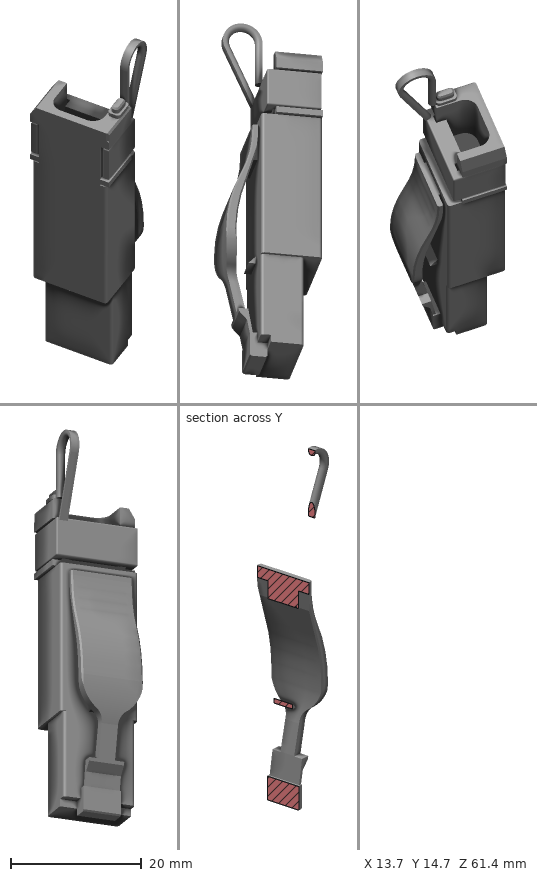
import cadquery as cq
import math

total_height = 61.4
head_width = 13.7
head_depth = 7.25
head_top = 51.4
sleeve_width = 12.85
sleeve_back = 9.45
sleeve_top = 40.3
sleeve_bottom = 16.3
plug_width = 11.8
plug_front = 2.75
plug_bottom = 1.2
edge_rounding = 0.5

bevel_width = 1.05
bevel_height = 1.65
small_bevel = 0.3
corner_height = 1.65
corner_width = 0.5
corner_depth = 0.2
gap_height = 0.2
gap_inner_x = 5.35
window_width = 8.7
window_front = 1.3
window_radius = 2.1

band_width = 13.5
band_bottom = 41.7
band_top = 47.9
band_back = 8.65
band_tip = 0.2
band_rounding = 0.25
slot_clearance = 0.25
slot_inner_x = 5.3
arm_tip_chamfer = 0.55
tongue_width = 7.85
tongue_front = 5.85

strap_x = 5.6
strap_width = 1.35
strap_thickness = 1.05
loop_radius = 3.1
loop_front = 7.1
strap_lean = math.radians(24.2)
strap_end_z = 47.25
knob_front = 3.7
knob_base_width = 2.1
knob_base_height = 0.7
knob_height = 1.65
knob_setback = 0.3
knob_corner_radius = 0.6
knob_top_chamfer = 0.25

lever_width = 10.2
lever_top = 38.9
lever_root_front = 9.75
lever_root_back = 10.6
lever_back = 14.7
lever_peak_z = 20.7
lever_neck_z = 13.5
lever_edge_chamfer = 0.25
pad_width = 6.15
pad_bottom = 33.85

outer_bend_top_z = 38.1
outer_bend_y = 12.35
outer_bend_z = 30.65
outer_neck_y = 13.6
heel_back = 12.3
heel_z = 7.6
heel_step_back = 11.05
heel_step_z = 6.25

inner_foot_y = 10.15
inner_heel_y = 10.9
inner_heel_z = 8.2
inner_neck_y = 12.05
inner_neck_z = 13.25
inner_peak_y = 13.1
inner_bend_y = 11.5
inner_bend_z = 29.4
inner_root_y = 10.15
inner_root_top_z = 37.15

waist_x = 2.45
waist_z = 15.65
neck_width = 2.7
neck_bottom = 8.15
heel_width = 5.8

foot_width = 6.2
foot_top = 4.05
foot_front = 7.9
foot_ledge = 2.4
foot_rounding = 0.25
barb_width = 3.7
barb_bottom = 16.65
barb_height = 1.2


def block(x_range, y_range, z_range):
    """Box between the given limits along X, Y and Z."""
    x0, x1 = x_range
    y0, y1 = y_range
    z0, z1 = z_range
    return cq.Workplane("XY").box(x1 - x0, y1 - y0, z1 - z0, centered=False).translate((x0, y0, z0))


def centred_block(width, y_range, z_range):
    """Box of the given width, symmetric about X = 0."""
    return block((-width / 2, width / 2), y_range, z_range)


def side_profile(outline, width):
    """Extrude an outline of the YZ plane symmetrically about X = 0."""
    return outline.extrude(width / 2, both=True)


def make_head():
    half = head_width / 2
    head = (
        cq.Workplane("XZ")
        .moveTo(-half, sleeve_top)
        .lineTo(half, sleeve_top)
        .lineTo(half, head_top - small_bevel)
        .lineTo(half - small_bevel, head_top)
        .lineTo(-half + bevel_width, head_top)
        .lineTo(-half, head_top - bevel_height)
        .close()
        .extrude(-head_depth)
    )
    corner = (
        cq.Workplane("XY", origin=(0, 0, head_top - corner_height))
        .moveTo(half, 0)
        .lineTo(half, corner_depth)
        .lineTo(half - corner_width, 0)
        .close()
        .extrude(corner_height)
    )
    window = (
        centred_block(window_width, (window_front, sleeve_back), (band_bottom, head_top))
        .edges("|Z and <Y")
        .fillet(window_radius)
    )
    head = head.cut(corner).cut(window)
    for side in (-1, 1):
        slot = block(
            sorted((side * slot_inner_x, side * half)),
            (0, head_depth),
            (band_bottom - slot_clearance, band_top + slot_clearance),
        )
        gap = block(
            sorted((side * gap_inner_x, side * half)),
            (0, head_depth),
            (sleeve_top, sleeve_top + gap_height),
        )
        head = head.cut(slot).cut(gap)
    return head


def make_band():
    height = band_top - band_bottom
    band = centred_block(band_width, (band_tip, band_back), (band_bottom, band_top))
    band = band.edges("|X or |Y or (|Z and >Y)").fillet(band_rounding)
    opening_back = head_depth + slot_clearance
    opening = centred_block(2 * slot_inner_x, (band_tip, opening_back), (band_bottom, band_top))
    band = band.cut(opening)
    for side in (-1, 1):
        slope = (
            cq.Workplane("XY", origin=(0, 0, band_bottom))
            .moveTo(side * slot_inner_x, band_tip)
            .lineTo(side * (slot_inner_x + arm_tip_chamfer), band_tip)
            .lineTo(side * slot_inner_x, band_tip + arm_tip_chamfer)
            .close()
            .extrude(height)
        )
        band = band.cut(slope)
    tongue = centred_block(tongue_width, (tongue_front, band_back - band_rounding), (band_bottom, band_top))
    return band.union(tongue)


def make_sleeve():
    sleeve = centred_block(sleeve_width, (0, sleeve_back), (sleeve_bottom, sleeve_top))
    return sleeve.edges("|Z").fillet(edge_rounding)


def make_plug():
    plug = centred_block(plug_width, (plug_front, sleeve_back), (plug_bottom, sleeve_bottom))
    plug = plug.edges("|Z").fillet(edge_rounding)
    step = centred_block(plug_width, (foot_front, sleeve_back), (plug_bottom, foot_ledge))
    return plug.cut(step)


def make_strap():
    centre_y = loop_front + loop_radius
    centre_z = total_height - loop_radius
    lean_y = centre_y + loop_radius * math.cos(strap_lean)
    lean_z = centre_z - loop_radius * math.sin(strap_lean)
    end_y = lean_y - (lean_z - strap_end_z) * math.tan(strap_lean)
    path = (
        cq.Workplane("YZ", origin=(strap_x, 0, 0))
        .moveTo(loop_front, head_top)
        .lineTo(loop_front, centre_z)
        .threePointArc((centre_y, total_height), (lean_y, lean_z))
        .lineTo(end_y, strap_end_z)
    )
    half = strap_width / 2
    section = (
        cq.Workplane("XY", origin=(strap_x, loop_front, head_top))
        .moveTo(-half, 0)
        .lineTo(half, 0)
        .lineTo(half, strap_thickness - half)
        .threePointArc((0, strap_thickness), (-half, strap_thickness - half))
        .close()
    )
    return section.sweep(path)


def make_knob():
    base = block(
        (strap_x - knob_base_width / 2, strap_x + knob_base_width / 2),
        (knob_front, loop_front),
        (head_top, head_top + knob_base_height),
    )
    cap = block(
        (strap_x - strap_width / 2, strap_x + strap_width / 2),
        (knob_front + knob_setback, loop_front - knob_setback),
        (head_top, head_top + knob_height),
    )
    base = base.edges("|Z").fillet(knob_corner_radius)
    cap = cap.edges("|Z").fillet(knob_corner_radius).faces(">Z").chamfer(knob_top_chamfer)
    return base.union(cap)


def make_lever():
    outline = (
        cq.Workplane("YZ")
        .moveTo(lever_root_front, lever_top)
        .lineTo(lever_root_back, lever_top)
        .lineTo(lever_root_back, outer_bend_top_z)
        .tangentArcPoint((outer_bend_y, outer_bend_z), relative=False)
        .tangentArcPoint((lever_back, lever_peak_z), relative=False)
        .tangentArcPoint((outer_neck_y, lever_neck_z), relative=False)
        .lineTo(heel_back, heel_z)
        .lineTo(heel_step_back, heel_step_z)
        .lineTo(lever_root_back, foot_top)
        .lineTo(inner_foot_y, foot_top)
        .lineTo(inner_heel_y, inner_heel_z)
        .lineTo(inner_neck_y, inner_neck_z)
        .threePointArc((inner_peak_y, lever_peak_z), (inner_bend_y, inner_bend_z))
        .lineTo(inner_root_y, pad_bottom)
        .lineTo(lever_root_front, inner_root_top_z)
        .close()
    )
    lever = side_profile(outline, lever_width)
    long_edges = lever.faces("<X or >X").edges("%CIRCLE")
    lever = long_edges.chamfer(lever_edge_chamfer)
    wide = lever_width / 2
    narrow = neck_width / 2
    heel = heel_width / 2
    rear_outline = (
        cq.Workplane("XZ")
        .moveTo(0, lever_top)
        .lineTo(wide, lever_top)
        .lineTo(wide, lever_peak_z)
        .tangentArcPoint((waist_x, waist_z), relative=False)
        .tangentArcPoint((narrow, lever_neck_z), relative=False)
        .lineTo(narrow, neck_bottom)
        .lineTo(heel, neck_bottom)
        .lineTo(heel, foot_top)
        .lineTo(0, foot_top)
        .close()
        .extrude(-2 * lever_back)
    )
    rear_outline = rear_outline.union(rear_outline.mirror("YZ"))
    pad = centred_block(pad_width, (sleeve_back, inner_root_y), (pad_bottom, lever_top))
    return lever.intersect(rear_outline).union(pad)


def make_foot():
    upper = centred_block(foot_width, (sleeve_back, lever_root_back), (0, foot_top))
    lower = centred_block(foot_width, (foot_front, lever_root_back), (0, foot_ledge))
    return upper.union(lower).faces("<Z").edges("|X").chamfer(foot_rounding)


def make_barb():
    outline = (
        cq.Workplane("YZ")
        .moveTo(sleeve_back, barb_bottom)
        .lineTo(lever_root_back, barb_bottom)
        .lineTo(sleeve_back, barb_bottom + barb_height)
        .close()
    )
    return side_profile(outline, barb_width)


result = (
    make_sleeve()
    .union(make_head())
    .union(make_band())
    .union(make_plug())
    .union(make_strap())
    .union(make_knob())
    .union(make_lever())
    .union(make_foot())
    .union(make_barb())
)